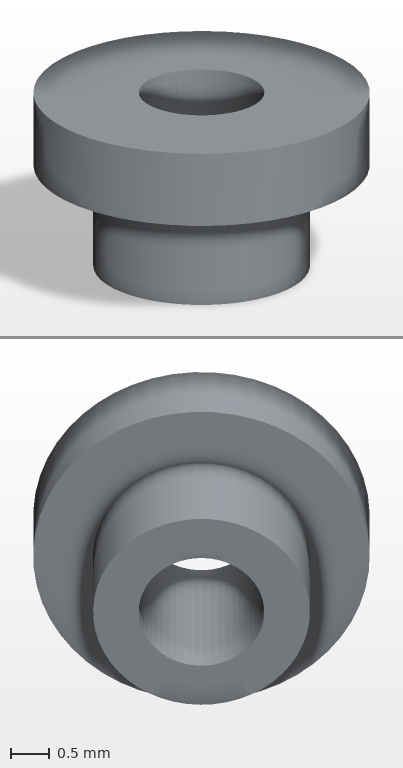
import cadquery as cq

flange_diameter = 4.35
sleeve_diameter = 2.8
bore_diameter = 1.623
total_height = 2.4
flange_thickness = 1.0
sleeve_length = total_height - flange_thickness

sleeve = cq.Workplane("XY").circle(sleeve_diameter / 2).extrude(sleeve_length)

bushing = sleeve.faces(">Z").workplane().circle(flange_diameter / 2).extrude(flange_thickness)

result = bushing.faces(">Z").workplane().hole(bore_diameter)